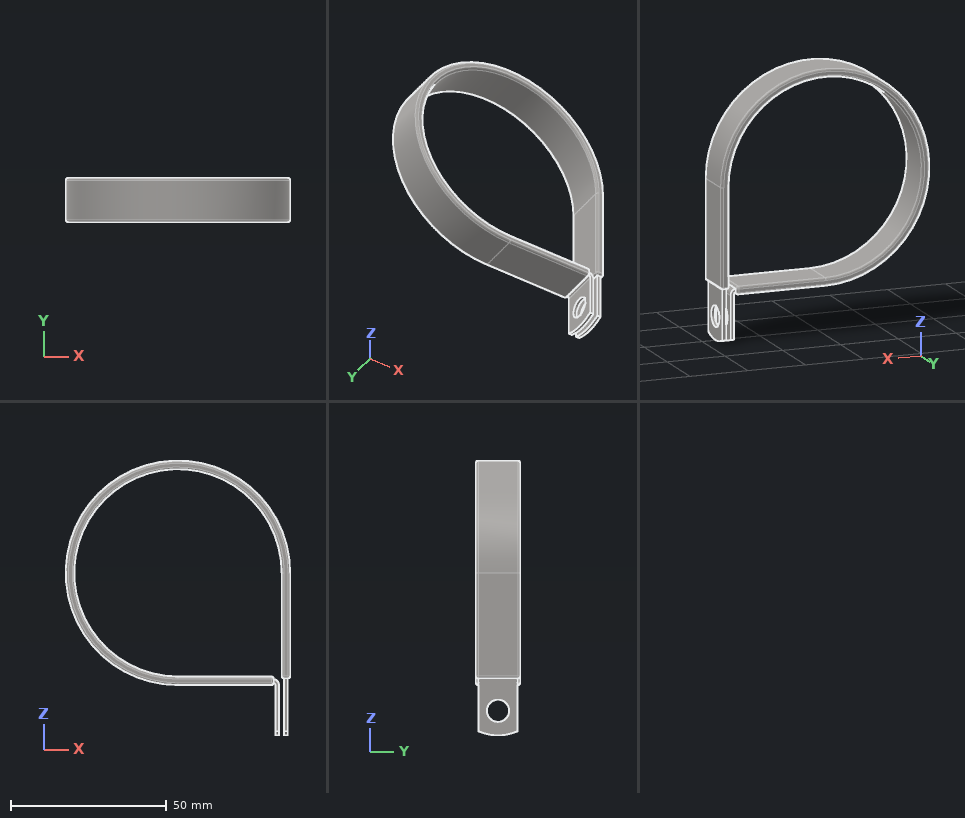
import cadquery as cq
import math

height = 88.5
outer_radius = 36.14
cushion_thickness = 2.8
cushion_width = 14.3
cushion_round = 0.8
cushion_leg_end_z = -34.0
cushion_foot_end_x = 30.8
strap_thickness = 1.2
strap_width = 12.6
bend_inner_radius = 0.9
bend_start_inset = 0.35
hole_diameter = 7.1
hole_above_tip = 8.0
tip_radius = 15.5

middle_radius = outer_radius - cushion_thickness / 2
tip_z = outer_radius - height
hole_z = tip_z + hole_above_tip
bend_outer_radius = bend_inner_radius + strap_thickness
bend_start_x = cushion_foot_end_x - bend_start_inset
inner_tab_x = bend_start_x + bend_inner_radius
strap_top = -middle_radius + strap_thickness / 2
strap_bottom = strap_top - strap_thickness
bend_z = strap_top - bend_outer_radius
tip_rise = tip_radius - math.sqrt(tip_radius**2 - (strap_width / 2) ** 2)


def make_cushion():
    """Band with a three-quarter loop and two straight legs, rounded on all outer edges."""
    inner_radius = outer_radius - cushion_thickness
    diagonal = math.sqrt(0.5)
    band = (
        cq.Workplane("XZ")
        .moveTo(outer_radius, cushion_leg_end_z)
        .lineTo(outer_radius, 0)
        .threePointArc((-outer_radius * diagonal, outer_radius * diagonal), (0, -outer_radius))
        .lineTo(cushion_foot_end_x, -outer_radius)
        .lineTo(cushion_foot_end_x, -inner_radius)
        .lineTo(0, -inner_radius)
        .threePointArc((-inner_radius * diagonal, inner_radius * diagonal), (inner_radius, 0))
        .lineTo(inner_radius, cushion_leg_end_z)
        .close()
        .extrude(cushion_width / 2, both=True)
    )
    leg_end = cq.selectors.NearestToPointSelector((middle_radius, 0, cushion_leg_end_z))
    foot_end = cq.selectors.NearestToPointSelector((cushion_foot_end_x, 0, -middle_radius))
    rounded_faces = band.faces("|Y").add(band.faces(leg_end)).add(band.faces(foot_end))
    return rounded_faces.edges().fillet(cushion_round)


def make_tab(inner_x, top_z):
    """Vertical strap end with a curved tip and a screw hole."""
    half_width = strap_width / 2
    return (
        cq.Workplane("YZ", origin=(inner_x, 0, 0))
        .moveTo(-half_width, top_z)
        .lineTo(-half_width, tip_z + tip_rise)
        .threePointArc((0, tip_z), (half_width, tip_z + tip_rise))
        .lineTo(half_width, top_z)
        .close()
        .moveTo(0, hole_z)
        .circle(hole_diameter / 2)
        .extrude(strap_thickness)
    )


def make_bend():
    """Strap leaving the horizontal leg and turning down through a quarter circle."""
    start_x = cushion_foot_end_x - cushion_thickness
    return (
        cq.Workplane("XZ")
        .moveTo(start_x, strap_bottom)
        .lineTo(start_x, strap_top)
        .lineTo(bend_start_x, strap_top)
        .radiusArc((inner_tab_x + strap_thickness, bend_z), bend_outer_radius)
        .lineTo(inner_tab_x, bend_z)
        .radiusArc((bend_start_x, strap_bottom), -bend_inner_radius)
        .close()
        .extrude(strap_width / 2, both=True)
    )


outer_tab = make_tab(middle_radius - strap_thickness / 2, cushion_leg_end_z + cushion_thickness)
inner_tab = make_tab(inner_tab_x, bend_z)

result = make_cushion().union(outer_tab).union(make_bend()).union(inner_tab)